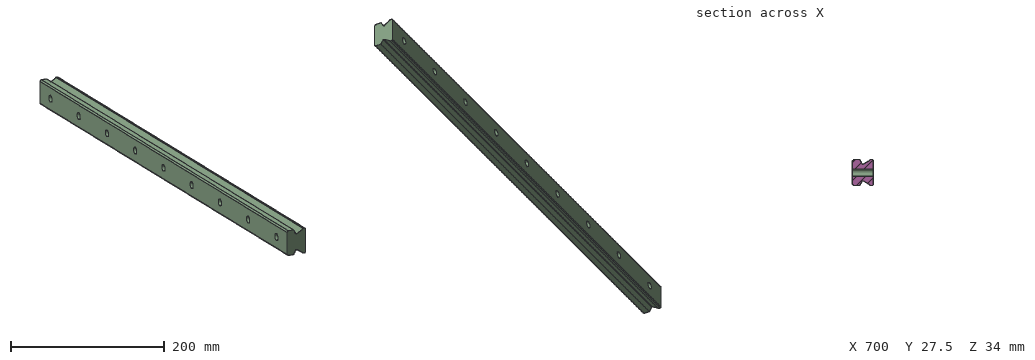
import math

import cadquery as cq

length = 700.0
depth = 27.5
height = 34.0
front_chamfer = 2.0
back_chamfer = 1.2

groove_depth = 6.0
back_land_edge = 9.8
lip = 1.65
front_land_edge = -3.9
slope_angle = math.radians(30)
wall_angle = math.radians(60)

hole_diameter = 9.0
hole_pitch = 80.0
hole_count = 9


def make_body():
    """Rectangular bar with its four long outer edges chamfered."""
    bar = cq.Workplane("XY").box(length, depth, height)
    bar = bar.faces("<Y").edges("|X").chamfer(front_chamfer)
    return bar.faces(">Y").edges("|X").chamfer(back_chamfer)


def make_groove(side):
    """Groove cutter for the top (side = 1) or the bottom (side = -1)."""
    slope_start = back_land_edge - lip
    floor_back = slope_start - (groove_depth - lip) / math.tan(slope_angle)
    floor_front = front_land_edge + groove_depth / math.tan(wall_angle)
    land_z = side * height / 2
    lip_z = land_z - side * lip
    floor_z = land_z - side * groove_depth
    outline = [
        (back_land_edge, land_z),
        (slope_start, lip_z),
        (floor_back, floor_z),
        (floor_front, floor_z),
        (front_land_edge, land_z),
    ]
    return cq.Workplane("YZ").polyline(outline).close().extrude(length / 2, both=True)


def make_holes():
    """Row of through holes centred along the rail."""
    return (
        cq.Workplane("XZ")
        .rarray(hole_pitch, 1, hole_count, 1)
        .circle(hole_diameter / 2)
        .extrude(depth / 2, both=True)
    )


result = make_body()
for groove_side in (1, -1):
    result = result.cut(make_groove(groove_side))
result = result.cut(make_holes())